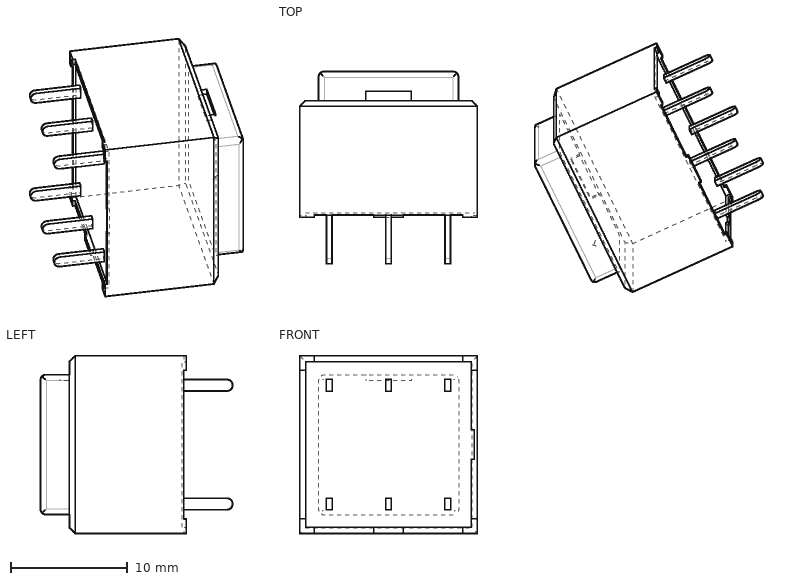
import cadquery as cq

HOUSING_SIDE = 15.24
HOUSING_DEPTH = 10.0
HOUSING_CHAMFER = 0.5

RIM_WALL = 0.53
RIM_RELIEF = 0.2
FLOOR_DEPTH = 0.4
FOOT_LENGTH = 1.27
TAB_WIDTH = 2.54
KEY_NOTCH_DEPTH = 0.27

BUTTON_SIDE = 12.0
BUTTON_HEIGHT = 2.5
BUTTON_RADIUS = 0.5
WINDOW_WIDTH = 3.88
WINDOW_HEIGHT = 0.82
WINDOW_DEPTH = 0.5

PIN_THICKNESS = 0.5
PIN_WIDTH = 1.0
PIN_LENGTH = 3.98
PIN_PITCH = 5.08

HALF_SIDE = HOUSING_SIDE / 2
FLOOR_SIDE = HOUSING_SIDE - 2 * RIM_WALL
FEET_Y = 0.0
FLOOR_Y = FEET_Y + FLOOR_DEPTH
FRONT_Y = FEET_Y + HOUSING_DEPTH


def box_along_y(width, y_start, y_end, height, x=0.0, z=0.0):
    """Box spanning y_start to y_end, centred on x and z."""
    depth = y_end - y_start
    return cq.Workplane("XY").box(width, depth, height).translate((x, y_start + depth / 2, z))


def make_housing():
    block = box_along_y(HOUSING_SIDE, FEET_Y, FRONT_Y, HOUSING_SIDE)
    block = block.faces(">Y").chamfer(HOUSING_CHAMFER)

    relief_length = HOUSING_SIDE - 2 * FOOT_LENGTH
    relief_end = FEET_Y + RIM_RELIEF
    relief = box_along_y(HOUSING_SIDE, FEET_Y, relief_end, relief_length)
    relief = relief.union(box_along_y(relief_length, FEET_Y, relief_end, HOUSING_SIDE))
    middle_foot = box_along_y(TAB_WIDTH, FEET_Y, relief_end, RIM_WALL, z=-HALF_SIDE + RIM_WALL / 2)
    block = block.cut(relief.cut(middle_foot))

    block = block.cut(box_along_y(FLOOR_SIDE, FEET_Y, FLOOR_Y, FLOOR_SIDE))
    key_notch_x = (FLOOR_SIDE + KEY_NOTCH_DEPTH) / 2
    return block.cut(box_along_y(KEY_NOTCH_DEPTH, FEET_Y, FLOOR_Y, TAB_WIDTH, x=key_notch_x))


def make_button():
    block = box_along_y(BUTTON_SIDE, FRONT_Y, FRONT_Y + BUTTON_HEIGHT, BUTTON_SIDE)
    button = block.edges("|Y").fillet(BUTTON_RADIUS)
    for axis in ("X", "Z"):
        button = button.intersect(block.faces(">Y").edges(f"|{axis}").fillet(BUTTON_RADIUS))

    window_z = (BUTTON_SIDE - WINDOW_DEPTH) / 2
    return button.cut(
        box_along_y(WINDOW_WIDTH, FRONT_Y, FRONT_Y + WINDOW_HEIGHT, WINDOW_DEPTH, z=window_z)
    )


def make_pin(x, z):
    """Flat pin standing on the floor, with a fully rounded tip."""
    tip_y = FEET_Y - PIN_LENGTH
    shoulder_y = tip_y + PIN_WIDTH / 2
    half_width = PIN_WIDTH / 2
    return (
        cq.Workplane("YZ")
        .moveTo(FLOOR_Y, half_width)
        .lineTo(shoulder_y, half_width)
        .threePointArc((tip_y, 0), (shoulder_y, -half_width))
        .lineTo(FLOOR_Y, -half_width)
        .close()
        .extrude(PIN_THICKNESS / 2, both=True)
        .translate((x, 0, z))
    )


housing = make_housing()
button = make_button()
pins = [
    make_pin(column * PIN_PITCH, row * PIN_PITCH).val()
    for row in (-1, 1)
    for column in (-1, 0, 1)
]

result = cq.Compound.makeCompound([housing.solids().val(), button.solids().val(), *pins])